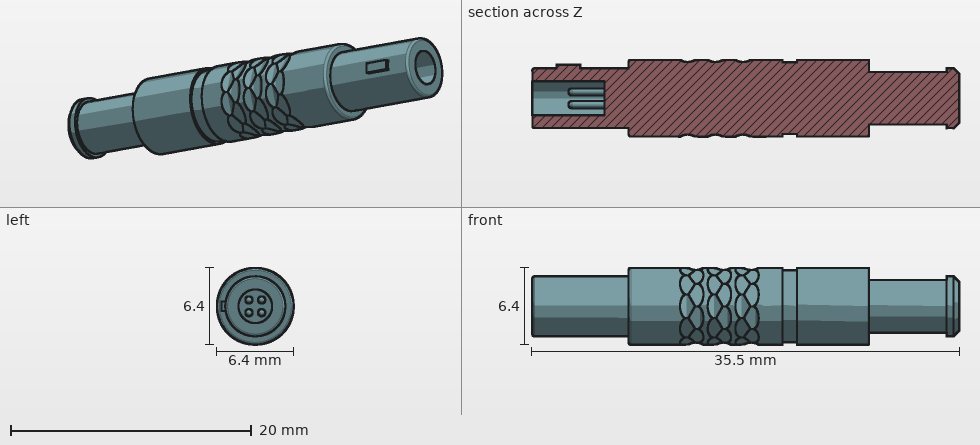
import cadquery as cq

plug_length = 8.0
groove_start = 20.8
groove_end = 22.0
body_end = 28.0
flange_start = 34.45
overall_length = 35.5

plug_radius = 2.5
body_radius = 3.2
groove_radius = 3.0
sleeve_radius = 2.2
flange_radius = 2.5

front_edge_round = 0.2
body_rear_round = 0.1
flange_chamfer = 0.47

bore_radius = 1.4
bore_depth = 6.0
pin_radius = 0.3
pin_length = 3.0
pin_offset = 0.53
pin_root_overlap = 0.5

key_start = 2.0
key_length = 2.0
key_width = 0.8
key_top = 2.8

facets_per_ring = 10
facet_angle = 360 / facets_per_ring
ring_pair_count = 3
ring_pair_pitch = 2.3
ring_spacing = 0.67
first_ring = 12.92
facet_depth = 0.175
cutter_radius = 1.25
cutter_axis_radius = body_radius - facet_depth + cutter_radius
cutter_half_length = body_radius


def disc(start, end, radius):
    """Solid cylinder on the connector axis between two X stations."""
    return cq.Workplane("YZ", origin=(start, 0, 0)).circle(radius).extrude(end - start)


def make_plug():
    plug = disc(0, plug_length, plug_radius)
    return plug.faces("<X").edges().fillet(front_edge_round)


def make_key():
    """Key block standing on the plug, its root running in to the axis."""
    key = cq.Workplane("XY", origin=(key_start, 0, 0))
    return key.box(key_length, key_top, key_width, centered=(False, False, True))


def make_body():
    body = disc(plug_length, body_end, body_radius)
    body = body.faces("<X").edges().fillet(front_edge_round)
    body = body.faces(">X").edges().fillet(body_rear_round)
    groove_core = disc(groove_start, groove_end, groove_radius)
    groove = disc(groove_start, groove_end, body_radius).cut(groove_core)
    return body.cut(groove)


def cut_facet_ring(body, station, start_angle):
    """Cut one ring of facets with cylinders lying tangentially around the body."""
    cutter = cq.Workplane("XY", origin=(station, -cutter_axis_radius, 0))
    cutter = cutter.circle(cutter_radius).extrude(cutter_half_length, both=True)
    for index in range(facets_per_ring):
        angle = start_angle + index * facet_angle
        body = body.cut(cutter.rotate((0, 0, 0), (1, 0, 0), angle))
    return body


def cut_grip(body):
    """Cut the ring pairs; the second ring of each is turned by half a facet."""
    for pair in range(ring_pair_count):
        station = first_ring + pair * ring_pair_pitch
        body = cut_facet_ring(body, station, 0)
        body = cut_facet_ring(body, station + ring_spacing, facet_angle / 2)
    return body


def make_rear_sleeve():
    """Sleeve behind the body, ending in a chamfered flange."""
    sleeve = disc(body_end, flange_start, sleeve_radius)
    flange = disc(flange_start, overall_length, flange_radius)
    return sleeve.union(flange.faces(">X").edges().chamfer(flange_chamfer))


def make_pin(y, z):
    """Round-nosed contact rising from the cavity floor toward the plug tip."""
    nose_center = bore_depth - pin_length + pin_radius
    shank_length = bore_depth + pin_root_overlap - nose_center
    shank = cq.Workplane("YZ", origin=(nose_center, y, z)).circle(pin_radius).extrude(shank_length)
    nose = cq.Workplane("XY", origin=(nose_center, y, z)).sphere(pin_radius)
    return shank.union(nose)


plug = make_plug().union(make_key()).cut(disc(0, bore_depth, bore_radius))
result = plug.union(cut_grip(make_body())).union(make_rear_sleeve())
for pin_y in (-pin_offset, pin_offset):
    for pin_z in (-pin_offset, pin_offset):
        result = result.union(make_pin(pin_y, pin_z))